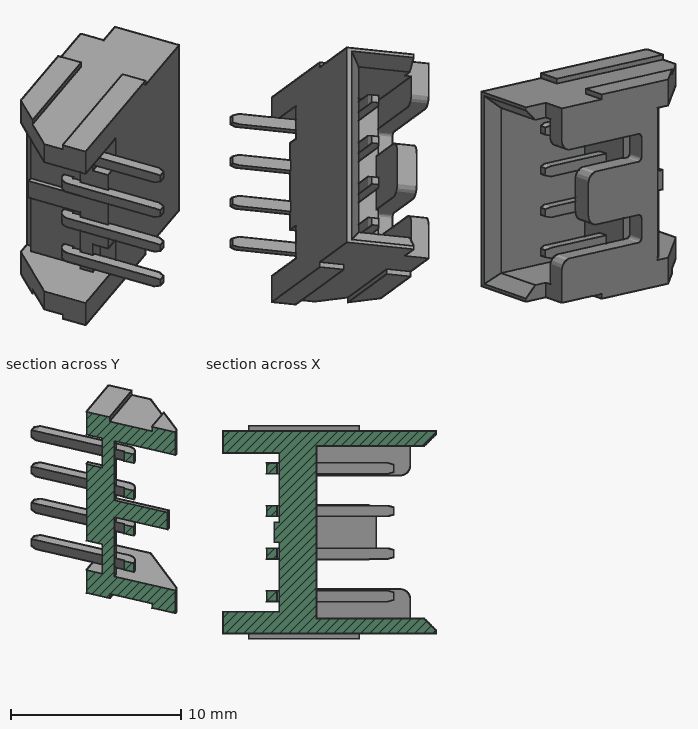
import cadquery as cq


HOUSING_DEPTH = 5.7
HOUSING_LENGTH = 12.5
HOUSING_WIDTH = 12.5
MID_Z = HOUSING_WIDTH / 2

PAD_HEIGHT = 0.3
PAD_WIDTH = 1.5
PAD_END_Y = 8.0

ARM_THICKNESS = 1.6
ARM_CHAMFER = 3.0
ARM_SPAN = HOUSING_WIDTH - 2 * ARM_THICKNESS
BASE_Y = 3.0

CAVITY_FLOOR_Y = 5.5
END_WALL = 0.9
SLOTTED_WALL = 1.1
PLAIN_WALL = 1.0
CAVITY_WIDTH = HOUSING_WIDTH - 2 * (PAD_HEIGHT + END_WALL)
MOUTH_CHAMFER = 0.7
TONGUE_THICKNESS = 1.22

SHORT_WALL_Y = 11.0
SHORT_WALL_CUT = 1.5
SLOT_END_Y = 5.0
SLOT_WIDTH = 1.7
TONGUE_WIDTH = 3.25
TONGUE_END_Y = 9.0
EDGE_RADIUS = 0.62
SLOT_RADIUS = 0.25

LIP_DEPTH = 0.5
LIP_Y = 3.8
POCKET_Y = 3.3
POCKET_END_X = 3.9
RIB_WIDTH = 1.2
NOTCH_WIDTH = 2.0
NOTCH_DEPTH = 1.0

PIN_COUNT = 4
PIN_PITCH = 2.5
PIN_SIZE = 0.64
PIN_BACK_X = 2.66
PIN_LEG_Y = 2.86
PIN_LEG_END_X = 9.3
PIN_CONTACT_END_Y = 10.02
TIP_LENGTH = 0.35
TIP_SIZE = 0.44


def box(x_range, y_range, z_range):
    """Axis-aligned block given by its limits along each axis."""
    lows, highs = zip(x_range, y_range, z_range)
    sizes = [high - low for low, high in zip(lows, highs)]
    return cq.Workplane("XY").box(*sizes, centered=False).translate(lows)


def mirrored_pair(shape):
    """The shape together with its mirror image about the middle of the width."""
    return shape.union(shape.mirror("XY", (0, 0, MID_Z)))


def housing_block():
    """Outer body with end pads, arms with cut corners, and the stepped mouth."""
    block = box((0, HOUSING_DEPTH), (0, HOUSING_LENGTH), (PAD_HEIGHT, HOUSING_WIDTH - PAD_HEIGHT))
    for x_start in (0, HOUSING_DEPTH - PAD_WIDTH):
        block = block.union(box((x_start, x_start + PAD_WIDTH), (0, PAD_END_Y), (0, HOUSING_WIDTH)))
    corner = (
        cq.Workplane("XY")
        .polyline([(0, 0), (ARM_CHAMFER, 0), (0, ARM_CHAMFER)])
        .close()
        .extrude(HOUSING_WIDTH)
    )
    arm_gap = box((0, HOUSING_DEPTH), (0, BASE_Y), (ARM_THICKNESS, HOUSING_WIDTH - ARM_THICKNESS))
    mouth_step = box((0, SHORT_WALL_CUT), (SHORT_WALL_Y, HOUSING_LENGTH), (0, HOUSING_WIDTH))
    return block.cut(corner).cut(arm_gap).cut(mouth_step)


def cavity():
    """Mating pocket with a flared mouth, less the extra thickness of the tongue."""
    x_end = HOUSING_DEPTH - PLAIN_WALL
    depth = x_end - SLOTTED_WALL
    pocket = box(
        (SLOTTED_WALL, x_end),
        (CAVITY_FLOOR_Y, HOUSING_LENGTH),
        (MID_Z - CAVITY_WIDTH / 2, MID_Z + CAVITY_WIDTH / 2),
    )
    flare = (
        cq.Workplane("XZ", origin=(SLOTTED_WALL + depth / 2, HOUSING_LENGTH, MID_Z))
        .rect(depth + 2 * MOUTH_CHAMFER, CAVITY_WIDTH + 2 * MOUTH_CHAMFER)
        .workplane(offset=MOUTH_CHAMFER)
        .rect(depth, CAVITY_WIDTH)
        .loft(ruled=True)
    )
    tongue_pad = box(
        (SLOTTED_WALL, TONGUE_THICKNESS),
        (CAVITY_FLOOR_Y, TONGUE_END_Y),
        (MID_Z - TONGUE_WIDTH / 2, MID_Z + TONGUE_WIDTH / 2),
    )
    return pocket.union(flare).cut(tongue_pad)


def corner_waste(y_end, z_side, toward, thickness):
    """Waste from rounding a wall corner at (y_end, z_side); toward is +1 or -1, the wall's side in Z."""
    y_inner = y_end - EDGE_RADIUS
    z_inner = z_side + toward * EDGE_RADIUS
    square = box((0, thickness), (y_inner, y_end), sorted((z_side, z_inner)))
    disc = cq.Workplane("YZ", origin=(0, y_inner, z_inner)).circle(EDGE_RADIUS).extrude(thickness)
    return square.cut(disc)


def wall_slots():
    """Two slots through the slotted wall, with the shortened tongue left between them."""
    tongue_low = MID_Z - TONGUE_WIDTH / 2
    tongue_high = MID_Z + TONGUE_WIDTH / 2
    slot_low = tongue_low - SLOT_WIDTH
    slot = box((0, SLOTTED_WALL), (SLOT_END_Y, SHORT_WALL_Y), (slot_low, tongue_low))
    slot = slot.edges("|X and <Y").fillet(SLOT_RADIUS)
    slot = slot.union(corner_waste(SHORT_WALL_Y, slot_low, -1, SLOTTED_WALL))
    slot = slot.union(corner_waste(TONGUE_END_Y, tongue_low, 1, TONGUE_THICKNESS))
    above_tongue = box((0, SLOTTED_WALL), (TONGUE_END_Y, SHORT_WALL_Y), (tongue_low, tongue_high))
    return mirrored_pair(slot).union(above_tongue)


def base_relief():
    """Recesses in the base: the edge lip, two shallow pockets beside a rib, two corner notches."""
    z_low = ARM_THICKNESS
    lip = box((0, LIP_DEPTH), (BASE_Y, LIP_Y), (z_low, z_low + ARM_SPAN))
    pocket = box((LIP_DEPTH, POCKET_END_X), (BASE_Y, POCKET_Y), (z_low, MID_Z - RIB_WIDTH / 2))
    notch = box(
        (HOUSING_DEPTH - PLAIN_WALL, HOUSING_DEPTH),
        (BASE_Y, BASE_Y + NOTCH_DEPTH),
        (z_low, z_low + NOTCH_WIDTH),
    )
    return lip.union(mirrored_pair(pocket.union(notch)))


def tapered_bar(length):
    """Square bar along +Z from the origin, ending in a tapered tip."""
    straight = length - TIP_LENGTH
    bar = cq.Workplane("XY").rect(PIN_SIZE, PIN_SIZE).extrude(straight)
    tip = (
        cq.Workplane("XY", origin=(0, 0, straight))
        .rect(PIN_SIZE, PIN_SIZE)
        .workplane(offset=TIP_LENGTH)
        .rect(TIP_SIZE, TIP_SIZE)
        .loft(ruled=True)
    )
    return bar.union(tip)


def pin():
    """L-shaped pin centred on Z = 0: a contact along +Y, a leg along +X and a round bend."""
    half = PIN_SIZE / 2
    bend_x = PIN_BACK_X + PIN_SIZE
    bend_y = PIN_LEG_Y + half
    contact = tapered_bar(PIN_CONTACT_END_Y - bend_y).rotate((0, 0, 0), (1, 0, 0), -90)
    contact = contact.translate((PIN_BACK_X + half, bend_y, 0))
    leg = tapered_bar(PIN_LEG_END_X - bend_x).rotate((0, 0, 0), (0, 1, 0), 90)
    leg = leg.translate((bend_x, PIN_LEG_Y, 0))
    disc = cq.Workplane("XY", origin=(bend_x, bend_y, -half)).circle(PIN_SIZE).extrude(PIN_SIZE)
    bend = disc.intersect(box((PIN_BACK_X, bend_x), (bend_y - PIN_SIZE, bend_y), (-half, half)))
    return contact.union(leg).union(bend)


result = housing_block().cut(cavity()).cut(wall_slots()).cut(base_relief())
for index in range(PIN_COUNT):
    pin_z = MID_Z + (index - (PIN_COUNT - 1) / 2) * PIN_PITCH
    result = result.union(pin().translate((0, 0, pin_z)))